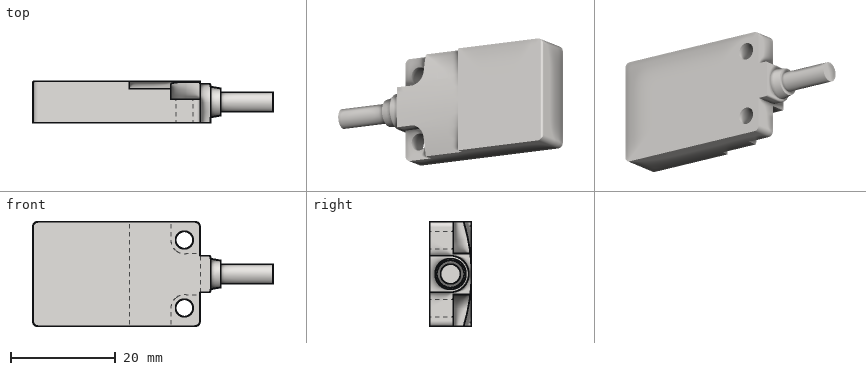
import cadquery as cq
import math


BODY_LENGTH = 32.0
BODY_THICKNESS = 8.0
BODY_HEIGHT = 20.0
CORNER_RADIUS = 1.0
FRONT_EDGE_RADIUS = 0.4
HALF_THICKNESS = BODY_THICKNESS / 2
HALF_HEIGHT = BODY_HEIGHT / 2

CROWN_START = 18.5
CROWN_DROP = 1.5

HOLE_DIAMETER = 3.3
HOLE_SPACING = 13.0
HOLE_END_DISTANCE = 3.0
HOLE_X = BODY_LENGTH - HOLE_END_DISTANCE
POCKET_RADIUS = 2.6
POCKET_DEPTH = 3.5
POCKET_SHELF_OFFSET = 0.4

INDICATOR_WIDTH = 2.6
INDICATOR_X = 22.0
INDICATOR_LOW_Y = -1.6
INDICATOR_LOW_Z = 4.5
INDICATOR_CORNER = 0.4

BOSS_LENGTH = 2.0
BOSS_RADIUS = 3.5
BOSS_END_RADIUS = 0.3
COLLAR_LENGTH = 2.0
COLLAR_BASE_DIAMETER = 5.9
COLLAR_TIP_DIAMETER = 5.2
CABLE_DIAMETER = 3.8
TOTAL_LENGTH = 46.0

BOSS_END_X = BODY_LENGTH + BOSS_LENGTH
COLLAR_END_X = BOSS_END_X + COLLAR_LENGTH


def make_block():
    """Plain housing with rounded corners and one rounded front edge."""
    block = (
        cq.Workplane("XY")
        .box(BODY_LENGTH, BODY_THICKNESS, BODY_HEIGHT, centered=(False, True, True))
        .edges("|Y")
        .fillet(CORNER_RADIUS)
    )
    edge_envelope = (
        cq.Workplane("XY")
        .box(BODY_LENGTH, BODY_THICKNESS, BODY_HEIGHT, centered=(False, True, True))
        .edges("<X and >Y")
        .fillet(FRONT_EDGE_RADIUS)
    )
    return block.intersect(edge_envelope)


def make_crown_envelope():
    """Housing outline whose rear +Y face bulges out to full thickness at Z = 0."""
    crown_edge_y = HALF_THICKNESS - CROWN_DROP
    front = cq.Workplane("XY").box(
        CROWN_START, BODY_THICKNESS, BODY_HEIGHT, centered=(False, True, True)
    )
    rear = (
        cq.Workplane("YZ", origin=(CROWN_START, 0, 0))
        .moveTo(-HALF_THICKNESS, -HALF_HEIGHT)
        .lineTo(crown_edge_y, -HALF_HEIGHT)
        .threePointArc((HALF_THICKNESS, 0), (crown_edge_y, HALF_HEIGHT))
        .lineTo(-HALF_THICKNESS, HALF_HEIGHT)
        .close()
        .extrude(BODY_LENGTH - CROWN_START)
    )
    return front.union(rear)


def make_pocket():
    """Upper screw-head pocket, open to the +X end, the top and the +Y face."""
    hole_z = HOLE_SPACING / 2
    shelf_x = HOLE_X + POCKET_SHELF_OFFSET
    shelf_z = hole_z - math.sqrt(POCKET_RADIUS**2 - POCKET_SHELF_OFFSET**2)
    wall_x = HOLE_X - POCKET_RADIUS
    diagonal = POCKET_RADIUS * math.cos(math.radians(45))
    arc_middle = (HOLE_X - diagonal, hole_z - diagonal)
    return (
        cq.Workplane("XZ", origin=(0, HALF_THICKNESS, 0))
        .moveTo(wall_x, HALF_HEIGHT)
        .lineTo(wall_x, hole_z)
        .threePointArc(arc_middle, (shelf_x, shelf_z))
        .lineTo(BODY_LENGTH, shelf_z)
        .lineTo(BODY_LENGTH, HALF_HEIGHT)
        .close()
        .extrude(POCKET_DEPTH)
    )


def make_holes():
    """The pair of mounting holes, right through the thickness."""
    return (
        cq.Workplane("XZ", origin=(HOLE_X, HALF_THICKNESS, 0))
        .pushPoints([(0, -HOLE_SPACING / 2), (0, HOLE_SPACING / 2)])
        .circle(HOLE_DIAMETER / 2)
        .extrude(BODY_THICKNESS)
    )


def make_indicator_block():
    """Window block that reaches past the housing at the top and on the +Y side."""
    return (
        cq.Workplane("XY")
        .box(
            INDICATOR_WIDTH,
            HALF_THICKNESS - INDICATOR_LOW_Y,
            HALF_HEIGHT - INDICATOR_LOW_Z,
            centered=(True, False, False),
        )
        .translate((INDICATOR_X, INDICATOR_LOW_Y, INDICATOR_LOW_Z))
        .edges("|Z and <Y")
        .fillet(INDICATOR_CORNER)
        .edges("|Y and <Z")
        .fillet(INDICATOR_CORNER)
    )


def make_boss():
    """D-shaped outlet boss: round towards +Y, square and flush on the -Y face."""
    return (
        cq.Workplane("YZ", origin=(BODY_LENGTH, 0, 0))
        .moveTo(-HALF_THICKNESS, -BOSS_RADIUS)
        .lineTo(0, -BOSS_RADIUS)
        .threePointArc((BOSS_RADIUS, 0), (0, BOSS_RADIUS))
        .lineTo(-HALF_THICKNESS, BOSS_RADIUS)
        .close()
        .extrude(BOSS_LENGTH)
        .faces(">X")
        .edges("not <Y")
        .fillet(BOSS_END_RADIUS)
    )


def make_cable():
    """Tapered collar and cable stub, turned about the X axis."""
    return (
        cq.Workplane("XY")
        .moveTo(BOSS_END_X, 0)
        .lineTo(BOSS_END_X, -COLLAR_BASE_DIAMETER / 2)
        .lineTo(COLLAR_END_X, -COLLAR_TIP_DIAMETER / 2)
        .lineTo(COLLAR_END_X, -CABLE_DIAMETER / 2)
        .lineTo(TOTAL_LENGTH, -CABLE_DIAMETER / 2)
        .lineTo(TOTAL_LENGTH, 0)
        .close()
        .revolve(360, (0, 0, 0), (1, 0, 0))
    )


pocket = make_pocket()
housing = make_block().intersect(make_crown_envelope())
housing = housing.cut(pocket).cut(pocket.mirror("XY")).cut(make_holes())

indicator = housing.intersect(make_indicator_block())
housing = housing.cut(indicator).union(indicator, clean=False)
result = housing.union(make_boss(), clean=False).union(make_cable(), clean=False)